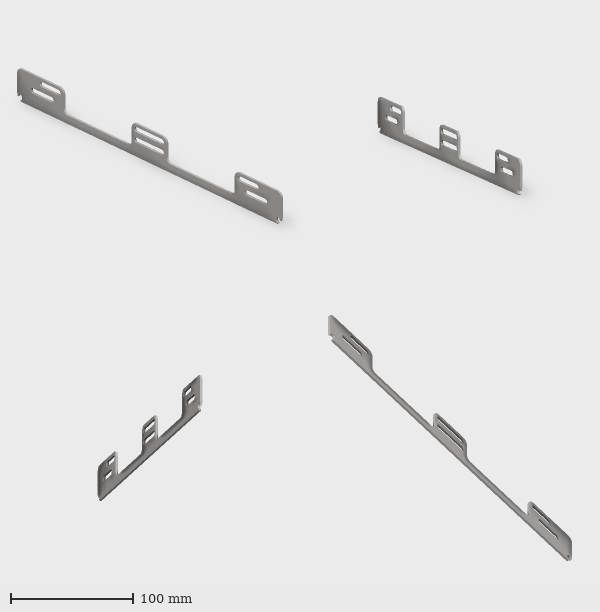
import cadquery as cq
import math

length = 317.25
height = 29.84
thickness = 2.0
half_length = length / 2
bottom = -height / 2
top = height / 2

rail_height = 7.7
rail_top = bottom + rail_height
center_tab_half_width = 20.9
end_tab_width = 55.7
end_tab_inner_x = half_length - end_tab_width
corner_radius = 4.8
root_radius = 4.8

slot_width = 4.8
upper_slot_z = bottom + 24.75
lower_slot_z = bottom + 15.15
center_slot_length = 35.4
upper_end_slot = (106.6, 131.3)
lower_end_slot = (115.0, 142.0)

notch_radius = 2.3
notch_x = half_length - 3.65
notch_z = bottom + 3.8
notch_top_angle = math.radians(90)
notch_exit_angle = math.radians(225)
hook_taper = 0.6
hook_root_z = bottom + 6.9
toe_radius = 0.7
toe_x = half_length - 3.9


def notch_point(angle):
    """Point on the notch circle at the given angle from +X."""
    return (
        notch_x + notch_radius * math.cos(angle),
        notch_z + notch_radius * math.sin(angle),
    )


def half_plate():
    """The +X half of the plate, from the mid-plane out to the hook."""
    diagonal = math.sin(math.radians(45))
    tip_outer_x = half_length - hook_taper
    toe_z = bottom + toe_radius
    toe_shoulder = (toe_x - toe_radius * (1 - diagonal), toe_z + toe_radius * diagonal)
    return (
        cq.Workplane("XZ")
        .moveTo(0, bottom)
        .lineTo(toe_x - toe_radius, bottom)
        .threePointArc((toe_x, toe_z), toe_shoulder)
        .lineTo(*notch_point(notch_exit_angle))
        .threePointArc(notch_point(notch_top_angle), notch_point(0))
        .lineTo(tip_outer_x, notch_z)
        .lineTo(half_length, hook_root_z)
        .lineTo(half_length, top)
        .lineTo(end_tab_inner_x, top)
        .lineTo(end_tab_inner_x, rail_top)
        .lineTo(center_tab_half_width, rail_top)
        .lineTo(center_tab_half_width, top)
        .lineTo(0, top)
        .close()
        .extrude(thickness / 2, both=True)
    )


def round_edges(body, points, radius):
    """Fillet the through-thickness edges standing at the given (x, z) points."""
    for x, z in points:
        body = body.edges(cq.selectors.NearestToPointSelector((x, 0, z))).fillet(radius)
    return body


def slot(center_x, center_z, slot_length):
    """Cutter for a round-ended slot along X, passing right through the plate."""
    return (
        cq.Workplane("XZ")
        .center(center_x, center_z)
        .slot2D(slot_length, slot_width)
        .extrude(thickness, both=True)
    )


def rounded_half_plate():
    """The half plate with its tab corners and tab roots filleted."""
    tab_corners = [(half_length, top), (end_tab_inner_x, top), (center_tab_half_width, top)]
    tab_roots = [(end_tab_inner_x, rail_top), (center_tab_half_width, rail_top)]
    body = round_edges(half_plate(), tab_corners, corner_radius)
    return round_edges(body, tab_roots, root_radius)


def cut_center_slots(body):
    for slot_z in (upper_slot_z, lower_slot_z):
        body = body.cut(slot(0, slot_z, center_slot_length))
    return body


def cut_end_slots(body):
    rows = ((upper_end_slot, upper_slot_z), (lower_end_slot, lower_slot_z))
    for (inner_x, outer_x), slot_z in rows:
        middle_x = (inner_x + outer_x) / 2
        for side in (-1, 1):
            body = body.cut(slot(side * middle_x, slot_z, outer_x - inner_x))
    return body


half = rounded_half_plate()
plate = half.union(half.mirror("YZ"))
plate = cut_center_slots(plate)
plate = cut_end_slots(plate)
result = plate.solids()